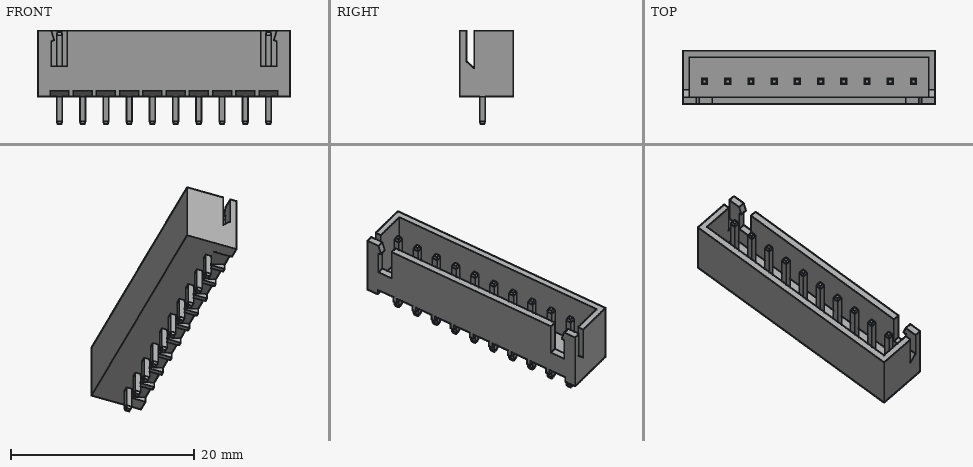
import cadquery as cq

length = 27.53
depth = 5.85
housing_height = 7.2
side_wall = 0.7
back_wall = 0.72
front_wall = 0.75
floor_thickness = 1.0

pin_count = 10
pin_pitch = 2.53
pin_width = 0.63
pin_from_front = 2.48
pin_below_housing = 3.0
pin_top_gap = 0.17
tip_height = 0.33
tip_inset = 0.1

window_from_end = 1.45
window_width = 1.73
window_depth = 3.88
barb_reach = 0.33
barb_peak_depth = 1.05
barb_end_depth = 1.18

slot_width = 0.83
slot_front_depth = 3.33
slot_back_depth = 4.13

notch_width = 2.06
notch_height = 0.65

front_y = -depth / 2
inner_front_y = front_y + front_wall
pin_y = front_y + pin_from_front
pin_front_y = pin_y - pin_width / 2
pin_positions = [(i - (pin_count - 1) / 2) * pin_pitch for i in range(pin_count)]


def make_shell():
    """Box hollowed out from the top."""
    cavity_length = length - 2 * side_wall
    cavity_depth = depth - front_wall - back_wall
    cavity_height = housing_height - floor_thickness
    box = cq.Workplane("XY").box(length, depth, housing_height, centered=(True, True, False))
    cavity = (
        cq.Workplane("XY")
        .box(cavity_length, cavity_depth, cavity_height, centered=(True, False, False))
        .translate((0, inner_front_y, floor_thickness))
    )
    return box.cut(cavity)


def make_left_window():
    """Window cutter for the -X end; its outer edge leaves a small barb on the wall."""
    outer_x = -length / 2 + window_from_end
    inner_x = outer_x + window_width
    bottom_z = housing_height - window_depth
    outline = [
        (outer_x, bottom_z),
        (inner_x, bottom_z),
        (inner_x, housing_height),
        (outer_x, housing_height),
        (outer_x + barb_reach, housing_height - barb_peak_depth),
        (outer_x, housing_height - barb_end_depth),
    ]
    return (
        cq.Workplane("XZ", origin=(0, inner_front_y, 0))
        .polyline(outline)
        .close()
        .extrude(front_wall)
    )


def make_side_slots():
    """Cutter along X that opens both side walls, with a bottom sloping down to the back."""
    back_y = inner_front_y + slot_width
    outline = [
        (inner_front_y, housing_height),
        (inner_front_y, housing_height - slot_front_depth),
        (back_y, housing_height - slot_back_depth),
        (back_y, housing_height),
    ]
    bar = cq.Workplane("YZ").polyline(outline).close().extrude(length / 2, both=True)
    between_walls = cq.Workplane("XY").box(length - 2 * side_wall, depth, 2 * housing_height)
    return bar.cut(between_walls)


def make_notch(x):
    """Wedge cutter running from the front face down to the front of one pin."""
    outline = [(front_y, 0), (pin_front_y, 0), (front_y, notch_height)]
    return (
        cq.Workplane("YZ", origin=(x, 0, 0))
        .polyline(outline)
        .close()
        .extrude(notch_width / 2, both=True)
    )


def make_tip(x, base_z, direction):
    """Tapered pin end rising (direction 1) or falling (direction -1) from base_z."""
    end_width = pin_width - 2 * tip_inset
    return (
        cq.Workplane("XY", origin=(x, pin_y, base_z))
        .rect(pin_width, pin_width)
        .workplane(offset=direction * tip_height)
        .rect(end_width, end_width)
        .loft()
    )


def make_pin(x):
    """Square pin through the floor, tapered at both ends."""
    shaft_bottom = tip_height - pin_below_housing
    shaft_top = housing_height - pin_top_gap - tip_height
    shaft = (
        cq.Workplane("XY", origin=(x, pin_y, shaft_bottom))
        .rect(pin_width, pin_width)
        .extrude(shaft_top - shaft_bottom)
    )
    return shaft.union(make_tip(x, shaft_top, 1)).union(make_tip(x, shaft_bottom, -1))


left_window = make_left_window()
housing = make_shell().cut(left_window).cut(left_window.mirror("YZ")).cut(make_side_slots())

for pin_x in pin_positions:
    housing = housing.cut(make_notch(pin_x))

result = housing
for pin_x in pin_positions:
    result = result.union(make_pin(pin_x))